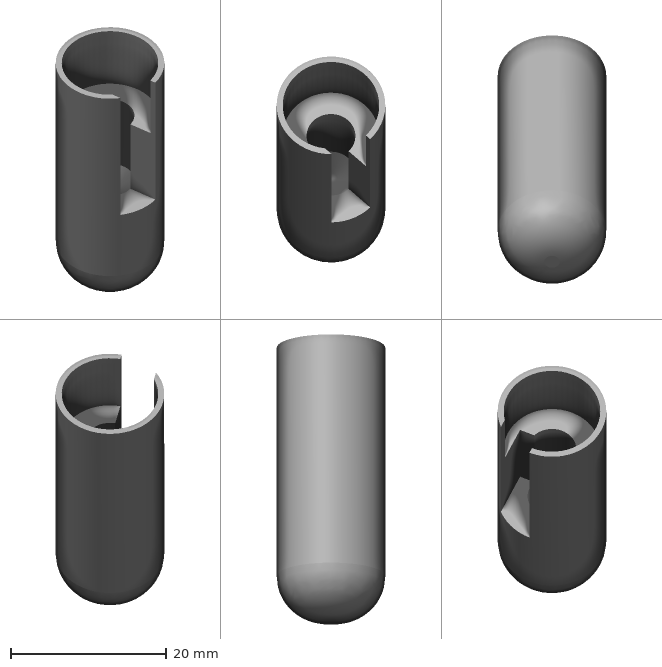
import cadquery as cq
import math

length = 36.4
outer_diameter = 14.0
nose_radius = 6.0

bore_diameter = 12.45
bore_depth = 9.0

slot_depth = 20.0
slot_width = 5.0
slot_end_x = -1.02

hole_diameter = 6.3
drill_point_angle = 118.0

hole_radius = hole_diameter / 2
slot_floor_z = length - slot_depth
drill_tip_height = hole_radius / math.tan(math.radians(drill_point_angle / 2))


def make_body():
    body = cq.Workplane("XY").circle(outer_diameter / 2).extrude(length)
    return body.faces("<Z").edges().fillet(nose_radius)


def make_bore():
    return (
        cq.Workplane("XY")
        .workplane(offset=length - bore_depth)
        .circle(bore_diameter / 2)
        .extrude(bore_depth)
    )


def make_drilled_hole():
    """Half profile in the XZ plane, revolved about the Z axis."""
    return (
        cq.Workplane("XZ")
        .moveTo(0, slot_floor_z - drill_tip_height)
        .lineTo(hole_radius, slot_floor_z)
        .lineTo(hole_radius, length)
        .lineTo(0, length)
        .close()
        .revolve(360, (0, 0, 0), (0, 1, 0))
    )


def make_slot():
    slot_length = outer_diameter / 2 - slot_end_x
    return (
        cq.Workplane("XY")
        .box(slot_length, slot_width, slot_depth, centered=False)
        .translate((slot_end_x, -slot_width, slot_floor_z))
    )


result = make_body().cut(make_bore()).cut(make_drilled_hole()).cut(make_slot())